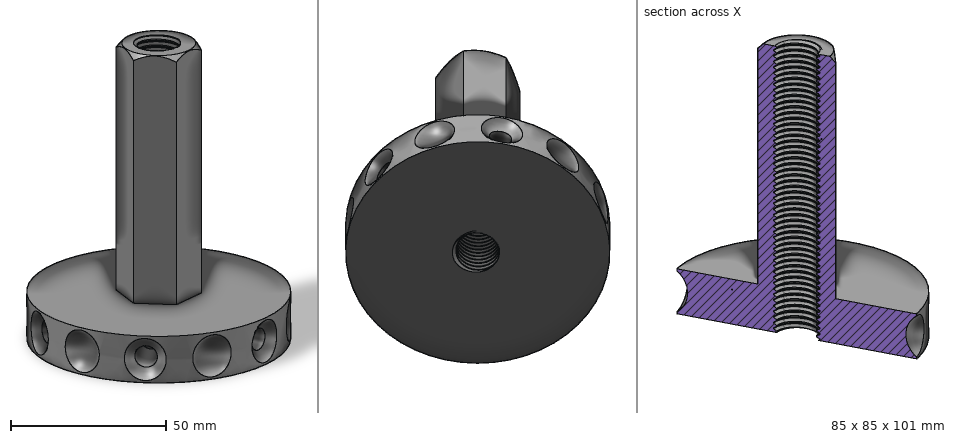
import cadquery as cq
import math

disc_diameter = 85.0
disc_height = 16.0

overall_height = 101.0
hex_across_flats = 24.0
hex_half_sector = 30.0
corner_chamfer = 2.0

bore_diameter = 14.0
thread_pitch = 2.0
thread_depth = 1.15
thread_root_width = thread_pitch / 8
thread_flank_angle = 60.0
thread_start_angle = 238.0
thread_overrun = 2 * thread_pitch

dimple_count = 12
dimple_sphere_radius = 8.75
dimple_center_radius = 47.5
radial_hole_count = 6
radial_hole_diameter = 7.3
radial_hole_depth = 20.0

disc_radius = disc_diameter / 2
rim_mid_height = disc_height / 2


def make_disc():
    return cq.Workplane("XY").circle(disc_radius).extrude(disc_height)


def make_stem():
    """Hexagonal bar with two flats facing +X and -X and its top corners turned off conically."""
    hex_across_corners = hex_across_flats / math.cos(math.radians(hex_half_sector))
    bar = (
        cq.Workplane("XY")
        .polygon(6, hex_across_corners)
        .extrude(overall_height)
        .rotate((0, 0, 0), (0, 0, 1), hex_half_sector)
    )
    corner_radius = hex_across_corners / 2
    top_radius = corner_radius - corner_chamfer
    envelope = (
        cq.Workplane("XZ")
        .moveTo(0, 0)
        .lineTo(corner_radius, 0)
        .lineTo(corner_radius, overall_height - corner_chamfer)
        .lineTo(top_radius, overall_height)
        .lineTo(0, overall_height)
        .close()
        .revolve(360, (0, 0, 0), (0, 1, 0))
    )
    return bar.intersect(envelope)


def helix_turn(radius, height):
    """One right-hand turn about Z, starting over +X at the given height."""
    turn = cq.Wire.makeHelix(thread_pitch, thread_pitch, radius)
    return turn.translate(cq.Vector(0, 0, height)).Edges()[0]


def make_thread_core(turn_count):
    """Solid with the shape of a tap: it removes the bore and its helical thread together.

    Each turn is a strip of helical faces that follows one pitch of the thread profile.
    At each end, a helical face out from the axis and a flat step close the solid.
    """
    crest_radius = bore_diameter / 2
    root_radius = crest_radius + thread_depth
    flank_run = thread_depth * math.tan(math.radians(thread_flank_angle / 2))
    crest_width = thread_pitch - thread_root_width - 2 * flank_run
    profile = [
        (crest_radius, 0),
        (crest_radius, crest_width),
        (root_radius, crest_width + flank_run),
        (root_radius, thread_pitch - flank_run),
        (crest_radius, thread_pitch),
    ]
    faces = []
    for turn in range(turn_count):
        base = turn * thread_pitch
        for (lower_radius, lower), (upper_radius, upper) in zip(profile, profile[1:]):
            lower_edge = helix_turn(lower_radius, base + lower)
            upper_edge = helix_turn(upper_radius, base + upper)
            faces.append(cq.Face.makeRuledSurface(lower_edge, upper_edge))
    step_outline = [(0, 0)] + profile + [(0, thread_pitch)]
    for base in (0, turn_count * thread_pitch):
        axis_edge = cq.Edge.makeLine(cq.Vector(0, 0, base), cq.Vector(0, 0, base + thread_pitch))
        faces.append(cq.Face.makeRuledSurface(axis_edge, helix_turn(crest_radius, base)))
        corners = [cq.Vector(radius, 0, base + height) for radius, height in step_outline]
        faces.append(cq.Face.makeFromWires(cq.Wire.makePolygon(corners, close=True)))
    return cq.Workplane(cq.Solid.makeSolid(cq.Shell.makeShell(faces)))


def make_thread():
    """Thread core turned to its start angle and overrunning both ends of the bore."""
    turn_count = math.ceil((overall_height + 2 * thread_overrun) / thread_pitch)
    core = make_thread_core(turn_count).translate((0, 0, -thread_overrun))
    return core.rotate((0, 0, 0), (0, 0, 1), thread_start_angle)


def around_rim(feature, count):
    """Copies of a feature made on the +X side, spread evenly about Z."""
    step = 360 / count
    return [feature.rotate((0, 0, 0), (0, 0, 1), i * step) for i in range(count)]


def make_dimple():
    return cq.Workplane("XY").sphere(dimple_sphere_radius).translate(
        (dimple_center_radius, 0, rim_mid_height)
    )


def make_radial_hole():
    """Blind flat-bottomed hole whose axis points at the centre of the disc."""
    return (
        cq.Workplane("YZ", origin=(disc_radius - radial_hole_depth, 0, rim_mid_height))
        .circle(radial_hole_diameter / 2)
        .extrude(radial_hole_depth)
    )


body = make_disc().union(make_stem())
for dimple in around_rim(make_dimple(), dimple_count):
    body = body.cut(dimple)
for hole in around_rim(make_radial_hole(), radial_hole_count):
    body = body.cut(hole)
result = body.cut(make_thread())